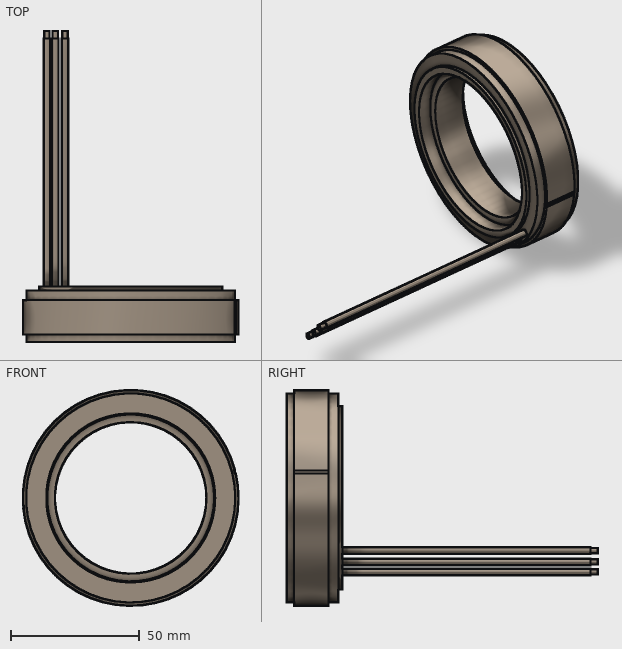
import cadquery as cq
import math


band_front = 2.9
band_back = 16.3
stator_back = 20.0
collar_back = 21.6

band_radius = 41.9
stator_radius = 40.6
collar_radius = 35.6
stator_bore_radius = 32.7

air_gap = 0.2
rotor_radius = stator_bore_radius - air_gap
rotor_bore_radius = 29.4
rotor_front = band_front
rotor_back = band_back

groove_width = 1.2
groove_depth = 0.2
groove_angles = (14.0, 184.9)

lead_end = 120.8
bare_length = 2.9
lead_radius = 1.3
bare_radius = 1.1
lead_circle_radius = 38.4
lead_middle_angle = 220.3
lead_pitch_angle = 8.1


def cylinder(radius, start, end, x=0, z=0):
    """Solid cylinder parallel to Y between two Y positions."""
    return cq.Workplane("XZ", origin=(x, start, z)).circle(radius).extrude(start - end)


def make_lead(angle):
    """Insulated lead with a thinner bare tip."""
    x = lead_circle_radius * math.cos(math.radians(angle))
    z = lead_circle_radius * math.sin(math.radians(angle))
    insulation = cylinder(lead_radius, stator_back, lead_end - bare_length, x, z)
    return insulation.union(cylinder(bare_radius, lead_end - bare_length, lead_end, x, z))


def make_groove(angle):
    """Cutter for one axial groove, reaching as far outside the band as inside."""
    length = band_back - band_front
    cutter = cq.Workplane("XY").box(2 * groove_depth, length, groove_width)
    cutter = cutter.translate((band_radius, band_front + length / 2, 0))
    return cutter.rotate((0, 0, 0), (0, 1, 0), -angle)


def make_stator():
    body = cylinder(stator_radius, 0, stator_back)
    body = body.union(cylinder(band_radius, band_front, band_back))
    body = body.union(cylinder(collar_radius, stator_back, collar_back))
    body = body.cut(cylinder(stator_bore_radius, 0, collar_back))
    for angle in groove_angles:
        body = body.cut(make_groove(angle))
    for step in (-1, 0, 1):
        body = body.union(make_lead(lead_middle_angle + step * lead_pitch_angle))
    return body


def make_rotor():
    return cylinder(rotor_radius, rotor_front, rotor_back).cut(
        cylinder(rotor_bore_radius, rotor_front, rotor_back)
    )


stator = make_stator()
rotor = make_rotor()
result = cq.Compound.makeCompound([stator.val(), rotor.val()])